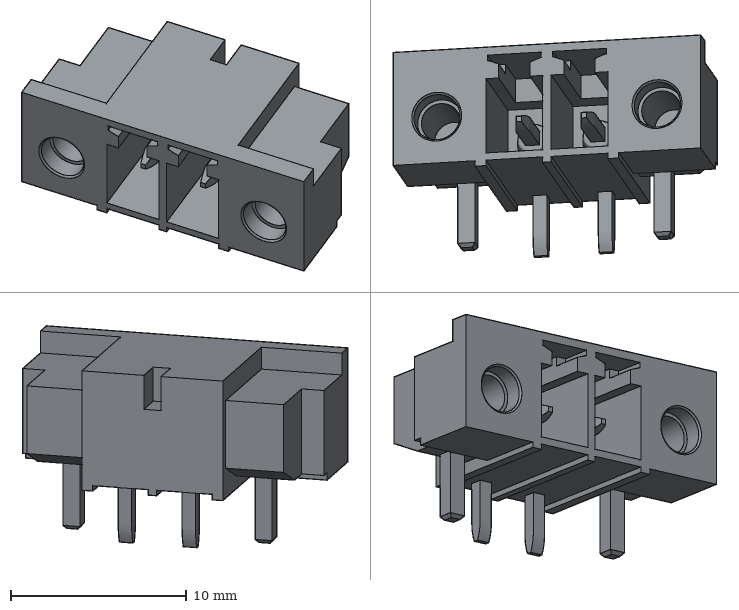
import cadquery as cq
import math


LENGTH = 17.91
DEPTH = 9.2
HEIGHT = 7.05
LEG_REACH = 3.2

PITCH = 3.8
CONTACT_XS = (-PITCH / 2, PITCH / 2)
POST_X = 5.71
SIDES = (-1, 1)
AXIS_Z = 3.08
CUT_MARGIN = 0.18

STANDOFF = 0.32
FLANGE_DEPTH = 1.25
BLOCK_WIDTH = 8.36
WING_TOP = 5.77
WING_STEP_Y = 4.9
WING_REAR_WIDTH = 15.26
WING_REAR_Y = 8.61
WING_BOTTOM = 0.75
WING_RAISED_Y = 4.32
WING_SLOPE_Y = 6.4
WING_SLOPE_TOP = 1.77

NOTCH_WIDTH = 1.02
NOTCH_DEPTH = 1.93
NOTCH_DROP = 2.0

PARTITION = 0.5
POCKET_WIDTH = PITCH - PARTITION
POCKET_BOTTOM = 0.75
POCKET_TOP = 5.18
POCKET_DEPTH = 6.45
SLOT_DEPTH = 5.01
SLOT_WIDTH = 1.83
SLOT_TOP = 6.57
SLOT_HEAD_DEPTH = 2.0
SLOT_HEAD_WIDTH = 3.13
SLOT_HEAD_EDGE_Z = 6.27
SLOT_HEAD_NECK_Z = 6.02

OUTER_RIB_WIDTH = BLOCK_WIDTH / 2 - PARTITION / 2 - POCKET_WIDTH

BOSS_BASE_RADIUS = 1.1
BOSS_RIM_RADIUS = 0.86
BOSS_LENGTH = 1.07
BOSS_ROUNDING = 0.16

SCREW_X = 6.41
SCREW_RADIUS = 1.35
SCREW_CHAMFER = 0.1
SCREW_STEP_DEPTH = 1.2
SCREW_INNER_RADIUS = 1.13
SCREW_DEPTH = 5.01

CONTACT_SIZE = 0.8
CONTACT_LEG_Y = 7.9
CONTACT_FRONT_Y = 1.36
TIP_LENGTH = 1.13
TIP_SIZE = 0.3

POST_SIZE = 1.0
POST_Y = 5.6
POST_TIP_LENGTH = 0.21
POST_TIP_INSET = 0.18


def box(x_range, y_range, z_range):
    """Axis-aligned box between the given limits."""
    sizes = [high - low for low, high in (x_range, y_range, z_range)]
    corner = (x_range[0], y_range[0], z_range[0])
    return cq.Workplane("XY").box(*sizes, centered=False).translate(corner)


def span(centre, width):
    """Limits of a width centred on a place."""
    return centre - width / 2, centre + width / 2


def wings(width, rear_y):
    """Side wings of the given width, with a stepped underside and a sloped rear corner."""
    outline = [
        (0, STANDOFF),
        (WING_RAISED_Y, STANDOFF),
        (WING_RAISED_Y, WING_BOTTOM),
        (WING_SLOPE_Y, WING_BOTTOM),
        (WING_REAR_Y, WING_SLOPE_TOP),
        (WING_REAR_Y, WING_TOP),
        (0, WING_TOP),
    ]
    solid = cq.Workplane("YZ").polyline(outline).close().extrude(width / 2, both=True)
    return solid.intersect(box(span(0, width), (0, rear_y), (0, HEIGHT)))


def housing_outside():
    flange = box(span(0, LENGTH), (0, FLANGE_DEPTH), (STANDOFF, HEIGHT))
    block = box(span(0, BLOCK_WIDTH), (0, DEPTH), (STANDOFF, HEIGHT))
    body = flange.union(block)
    body = body.union(wings(LENGTH, WING_STEP_Y))
    return body.union(wings(WING_REAR_WIDTH, WING_REAR_Y))


def ribs():
    """Three ribs along the underside that stand on the board."""
    outer_x = (BLOCK_WIDTH - OUTER_RIB_WIDTH) / 2
    solid = box(span(0, PARTITION), (0, DEPTH), (0, STANDOFF))
    for side in SIDES:
        solid = solid.union(box(span(side * outer_x, OUTER_RIB_WIDTH), (0, DEPTH), (0, STANDOFF)))
    return solid


def rear_notch():
    return box(
        span(0, NOTCH_WIDTH),
        (DEPTH - NOTCH_DEPTH, DEPTH + CUT_MARGIN),
        (HEIGHT - NOTCH_DROP, HEIGHT + CUT_MARGIN),
    )


def pocket(x):
    """Contact pocket with a flared coding slot above it."""
    half_slot = SLOT_WIDTH / 2
    half_head = SLOT_HEAD_WIDTH / 2
    head_outline = [
        (x - half_slot, SLOT_HEAD_NECK_Z),
        (x + half_slot, SLOT_HEAD_NECK_Z),
        (x + half_head, SLOT_HEAD_EDGE_Z),
        (x + half_head, SLOT_TOP),
        (x - half_head, SLOT_TOP),
        (x - half_head, SLOT_HEAD_EDGE_Z),
    ]
    head = cq.Workplane("XZ").polyline(head_outline).close().extrude(-SLOT_HEAD_DEPTH)
    slot = box(span(x, SLOT_WIDTH), (0, SLOT_DEPTH), (POCKET_BOTTOM, SLOT_TOP))
    cavity = box(span(x, POCKET_WIDTH), (0, POCKET_DEPTH), (POCKET_BOTTOM, POCKET_TOP))
    return cavity.union(slot).union(head)


def boss(x):
    """Tapered boss with a rounded rim on the back wall of a pocket."""
    rim_y = POCKET_DEPTH - BOSS_LENGTH
    profile = [
        (0, POCKET_DEPTH),
        (BOSS_BASE_RADIUS, POCKET_DEPTH),
        (BOSS_RIM_RADIUS, rim_y),
        (0, rim_y),
    ]
    cone = cq.Workplane("XY").polyline(profile).close().revolve(360, (0, 0, 0), (0, 1, 0))
    return cone.faces("<Y").edges().fillet(BOSS_ROUNDING).translate((x, 0, AXIS_Z))


def screw_hole(x):
    """Blind stepped hole with a chamfered mouth."""
    profile = [
        (0, 0),
        (SCREW_RADIUS + SCREW_CHAMFER, 0),
        (SCREW_RADIUS, SCREW_CHAMFER),
        (SCREW_RADIUS, SCREW_STEP_DEPTH),
        (SCREW_INNER_RADIUS, SCREW_STEP_DEPTH),
        (SCREW_INNER_RADIUS, SCREW_DEPTH),
        (0, SCREW_DEPTH),
    ]
    hole = cq.Workplane("XY").polyline(profile).close().revolve(360, (0, 0, 0), (0, 1, 0))
    return hole.translate((x, 0, AXIS_Z))


def contact(x):
    """Square wire bent at a right angle, with curved tapers at both ends."""
    half = CONTACT_SIZE / 2
    half_tip = TIP_SIZE / 2
    inset = half - half_tip
    tip_radius = (TIP_LENGTH**2 + inset**2) / (2 * inset)
    half_angle = math.asin(TIP_LENGTH / tip_radius) / 2
    mid_along = tip_radius * math.sin(half_angle)
    mid_half = half - tip_radius * (1 - math.cos(half_angle))

    front_y = CONTACT_FRONT_Y
    shoulder_y = front_y + TIP_LENGTH
    shoulder_z = TIP_LENGTH - LEG_REACH
    leg_y = CONTACT_LEG_Y
    wire = (
        cq.Workplane("YZ")
        .moveTo(front_y, AXIS_Z + half_tip)
        .threePointArc((shoulder_y - mid_along, AXIS_Z + mid_half), (shoulder_y, AXIS_Z + half))
        .lineTo(leg_y + half, AXIS_Z + half)
        .lineTo(leg_y + half, shoulder_z)
        .threePointArc((leg_y + mid_half, shoulder_z - mid_along), (leg_y + half_tip, -LEG_REACH))
        .lineTo(leg_y - half_tip, -LEG_REACH)
        .threePointArc((leg_y - mid_half, shoulder_z - mid_along), (leg_y - half, shoulder_z))
        .lineTo(leg_y - half, AXIS_Z - half)
        .lineTo(shoulder_y, AXIS_Z - half)
        .threePointArc((shoulder_y - mid_along, AXIS_Z - mid_half), (front_y, AXIS_Z - half_tip))
        .close()
        .extrude(half, both=True)
    )
    plan = [
        (-half_tip, front_y),
        (half_tip, front_y),
        (half, shoulder_y),
        (half, leg_y + half),
        (-half, leg_y + half),
        (-half, shoulder_y),
    ]
    plan_prism = cq.Workplane("XY").polyline(plan).close().extrude(2 * HEIGHT, both=True)
    return wire.intersect(plan_prism).translate((x, 0, 0))


def post(x):
    """Square mounting post under a wing, with a chamfered end."""
    tip_size = POST_SIZE - 2 * POST_TIP_INSET
    shoulder_z = POST_TIP_LENGTH - LEG_REACH
    shaft = box(span(x, POST_SIZE), span(POST_Y, POST_SIZE), (shoulder_z, WING_BOTTOM))
    tip = (
        cq.Workplane("XY", origin=(x, POST_Y, -LEG_REACH))
        .rect(tip_size, tip_size)
        .workplane(offset=POST_TIP_LENGTH)
        .rect(POST_SIZE, POST_SIZE)
        .loft(ruled=True)
    )
    return shaft.union(tip)


contacts = [contact(x) for x in CONTACT_XS]
posts = [post(x) for x in (-POST_X, POST_X)]

housing = housing_outside().union(ribs()).cut(rear_notch())
for side in SIDES:
    housing = housing.cut(screw_hole(side * SCREW_X))
for x, wire in zip(CONTACT_XS, contacts):
    housing = housing.cut(pocket(x)).union(boss(x))
    housing = housing.cut(wire)

bodies = [housing, *contacts, *posts]
result = cq.Compound.makeCompound([body.val() for body in bodies])